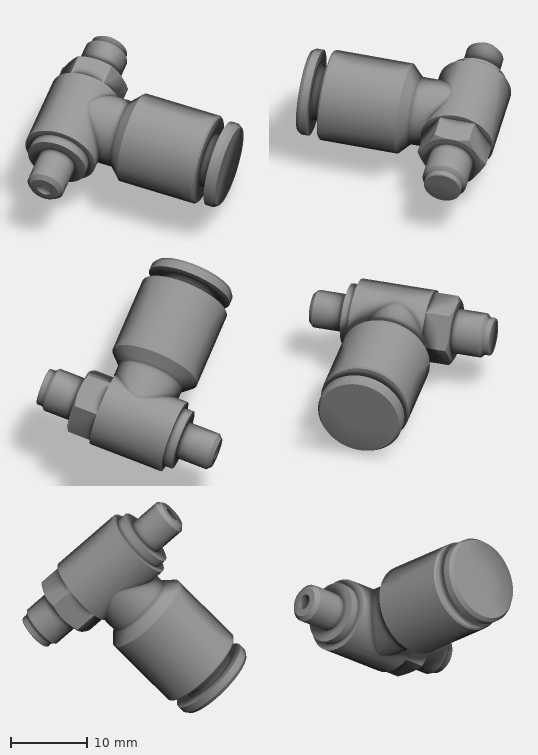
import cadquery as cq
import math


overall_length = 26.25

banjo_radius = 4.85
banjo_front = -6.0
banjo_back = 4.0

washer_radius = 4.02
washer_front = -7.25
spigot_radius = 2.5
spigot_front = -12.0
spigot_chamfer = 0.52
bore_radius = 1.0
bore_end = 0.0

hex_sides = 6
hex_across_flats = 8.0
hex_back = 7.45
hex_chamfer_angle = 30
stud_radius = 2.95
stud_shoulder = 11.24
stud_back = 12.5
stud_tip_radius = 2.5
shoulder_chamfer = stud_radius - stud_tip_radius
tip_chamfer = 0.1

neck_radius = 4.5
neck_end = 6.43
sleeve_diameter = 12.0
sleeve_radius = sleeve_diameter / 2
sleeve_end = 18.48
sleeve_chamfer = 0.2
sleeve_shoulder = neck_end + sleeve_radius - neck_radius

collar_stem_radius = 3.57
collar_stem_flare = 0.24
collar_radius = 5.72
collar_start = 19.92
collar_end = overall_length - banjo_radius
collar_chamfer_length = 0.52
collar_chamfer_depth = 0.37


def cylinder_y(radius, start, end):
    """Cylinder on the bolt axis between two Y stations."""
    return cq.Workplane("XZ", origin=(0, start, 0)).circle(radius).extrude(start - end)


def make_banjo():
    body = cylinder_y(banjo_radius, banjo_front, banjo_back)
    washer = cylinder_y(washer_radius, washer_front, banjo_front)
    spigot = cylinder_y(spigot_radius, spigot_front, washer_front).faces("<Y").chamfer(spigot_chamfer)
    return body.union(washer).union(spigot)


def make_hexagon():
    """Hexagon with corners on X, its back corners trimmed by a cone."""
    flat_radius = hex_across_flats / 2
    corner_radius = flat_radius / math.cos(math.pi / hex_sides)
    corner_drop = (corner_radius - flat_radius) * math.tan(math.radians(hex_chamfer_angle))
    prism = (
        cq.Workplane("XZ", origin=(0, banjo_back, 0))
        .polygon(hex_sides, 2 * corner_radius)
        .extrude(banjo_back - hex_back)
    )
    trimming_cone = (
        cq.Workplane("XY")
        .moveTo(0, banjo_back)
        .lineTo(corner_radius, banjo_back)
        .lineTo(corner_radius, hex_back - corner_drop)
        .lineTo(flat_radius, hex_back)
        .lineTo(0, hex_back)
        .close()
        .revolve(360, (0, 0, 0), (0, 1, 0))
    )
    return prism.intersect(trimming_cone)


def make_stud():
    shank = cylinder_y(stud_radius, hex_back, stud_shoulder + shoulder_chamfer)
    shank = shank.faces(">Y").chamfer(shoulder_chamfer)
    tip = cylinder_y(stud_tip_radius, stud_shoulder, stud_back).faces(">Y").chamfer(tip_chamfer)
    return shank.union(tip)


def make_tube_socket():
    """Neck, sleeve and release collar turned about X, the neck saddled on the banjo."""
    flared_radius = collar_stem_radius + collar_stem_flare
    profile = [
        (0, 0),
        (0, neck_radius),
        (neck_end, neck_radius),
        (sleeve_shoulder, sleeve_radius),
        (sleeve_end - sleeve_chamfer, sleeve_radius),
        (sleeve_end, sleeve_radius - sleeve_chamfer),
        (sleeve_end, collar_stem_radius),
        (collar_start - collar_stem_flare, collar_stem_radius),
        (collar_start, flared_radius),
        (collar_start, collar_radius),
        (collar_end - collar_chamfer_length, collar_radius),
        (collar_end, collar_radius - collar_chamfer_depth),
        (collar_end, 0),
    ]
    socket = cq.Workplane("XY").polyline(profile).close().revolve(360, (0, 0, 0), (1, 0, 0))
    return socket.cut(cylinder_y(banjo_radius, -sleeve_radius, sleeve_radius))


bolt = make_banjo().union(make_hexagon()).union(make_stud())
bore = cylinder_y(bore_radius, spigot_front, bore_end)
result = bolt.union(make_tube_socket()).cut(bore)